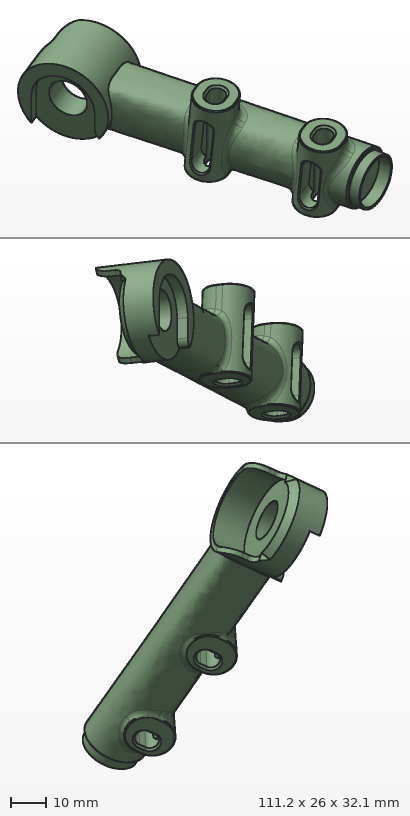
import cadquery as cq
import math


head_radius = 28.57 / 2
head_length = 21.9
pivot_bore_diameter = 11.99

recess_radius = 10.0
recess_depth = 3.3
recess_flare_start_z = -6.0
recess_flare_radius = 2.7
recess_flare_angle = 59.0

pocket_radius = 12.6
pocket_floor_y = 11.6
opening_angle = 35.0
opening_offset = 1.6
lip_round_radius = 5.8
lip_foot_radius = 2.6
bevel_height = 2.3
opening_reach = 20.0

arm_root_y = 11.1
arm_root_width = 16.6
arm_root_exponent = 4.5
section_points = 24
arm_end_x = 92.4
arm_end_y = 6.85
arm_end_diameter = 19.1
arm_end_tilt = 8.5
arm_end_chamfer = 0.4
arm_clearance = 0.25

spigot_diameter = 17.05
spigot_length = 3.3
spigot_bore_diameter = 15.6
spigot_bore_depth = 4.0

boss_tilt = 4.8
boss_y = 3.5
boss_width = 13.1
boss_bore_width = 5.2
boss_bore_chamfer = 0.65
boss_bore_tilt = 1.0
boss_straight = 2.0
boss_edge_chamfer = 0.35
boss_root_fillet = 2.3
window_width = 5.7
window_top_margin = 5.1
window_bottom_margin = 2.9
window_edge_chamfer = 0.5
window_edge_min_depth = 2.5
bosses = [
    (44.35, -9.7, 27.1),
    (78.4, -10.8, 25.1),
]


def y_cylinder(radius, y_start, y_end):
    """Cylinder about the pivot axis."""
    plane = cq.Workplane("XZ", origin=(0, y_start, 0))
    return plane.circle(radius).extrude(y_start - y_end)


def front_recess():
    """Arch about the bore; its +X side flares outwards where it leaves the head."""
    flare = math.radians(recess_flare_angle)
    half_flare = flare / 2

    def flare_point(angle):
        return (
            recess_radius + recess_flare_radius * (1 - math.cos(angle)),
            recess_flare_start_z - recess_flare_radius * math.sin(angle),
        )

    return (
        cq.Workplane("XZ")
        .moveTo(-recess_radius, 0)
        .threePointArc((0, recess_radius), (recess_radius, 0))
        .lineTo(recess_radius, recess_flare_start_z)
        .threePointArc(flare_point(half_flare), flare_point(flare))
        .lineTo(head_radius, -head_radius)
        .lineTo(-recess_radius, -head_radius)
        .close()
        .extrude(-recess_depth)
    )


def pocket_opening():
    """Cuts away one half of the pocket wall, leaving rounded lips and a bevelled floor."""
    diagonal = math.sqrt(0.5)
    bevel_bottom_y = pocket_floor_y - bevel_height
    clearance = (
        cq.Workplane("XY", origin=(0, 0, -opening_reach))
        .moveTo(lip_round_radius, head_length)
        .threePointArc(
            (lip_round_radius * (1 - diagonal), head_length - lip_round_radius * (1 - diagonal)),
            (0, head_length - lip_round_radius),
        )
        .lineTo(0, pocket_floor_y + lip_foot_radius)
        .threePointArc(
            (-lip_foot_radius * (1 - diagonal), pocket_floor_y + lip_foot_radius * (1 - diagonal)),
            (-lip_foot_radius, pocket_floor_y),
        )
        .lineTo(-lip_foot_radius - bevel_height, bevel_bottom_y)
        .lineTo(-opening_reach, bevel_bottom_y)
        .lineTo(-opening_reach, head_length)
        .close()
        .extrude(2 * opening_reach)
        .translate((-opening_offset, 0, 0))
        .rotate((0, 0, 0), (0, 1, 0), -opening_angle)
    )
    bevelled_floor = (
        cq.Workplane("XY")
        .moveTo(0, bevel_bottom_y)
        .lineTo(head_radius, bevel_bottom_y)
        .lineTo(head_radius - bevel_height, pocket_floor_y)
        .lineTo(0, pocket_floor_y)
        .close()
        .revolve(360, (0, 0, 0), (0, 1, 0))
    )
    return clearance.cut(bevelled_floor)


def make_head():
    head = y_cylinder(head_radius, 0, head_length)
    head = head.cut(front_recess())
    head = head.cut(y_cylinder(pocket_radius, pocket_floor_y, head_length))
    head = head.cut(pocket_opening())
    return head.cut(y_cylinder(pivot_bore_diameter / 2, 0, head_length))


def arm_end_plane():
    tilt = math.radians(arm_end_tilt)
    return cq.Plane(
        origin=(arm_end_x, arm_end_y, 0),
        xDir=(math.sin(tilt), math.cos(tilt), 0),
        normal=(math.cos(tilt), -math.sin(tilt), 0),
    )


def superellipse(plane, width, exponent):
    """Smooth closed outline that starts at +Y; exponent 2 is a circle, larger is squarer."""

    def signed_power(value):
        return math.copysign(abs(value) ** (2 / exponent), value)

    points = []
    for step in range(section_points):
        angle = 2 * math.pi * step / section_points
        points.append(
            (width / 2 * signed_power(math.cos(angle)), width / 2 * signed_power(math.sin(angle)))
        )
    return cq.Workplane(plane).spline(points, periodic=True).wire().val()


def arm_tube():
    """Tapered tube blank from a rounded square at the pivot to a circle at the end."""
    root_plane = cq.Plane(origin=(0, arm_root_y, 0), xDir=(0, 1, 0), normal=(1, 0, 0))
    root = superellipse(root_plane, arm_root_width, arm_root_exponent)
    end = superellipse(arm_end_plane(), arm_end_diameter, 2)
    return cq.Workplane(cq.Solid.makeLoft([root, end], True))


def leaning_plane(x, z, lean):
    tilt = math.radians(lean)
    return cq.Plane(
        origin=(x, boss_y, z),
        xDir=(0, 1, 0),
        normal=(math.sin(tilt), 0, math.cos(tilt)),
    )


def oval(plane, width, length):
    return cq.Workplane(plane).slot2D(width + boss_straight, width).extrude(length)


def boss_bore(x, z, length):
    """Oval through bore that starts at the middle of the boss top face."""
    top = leaning_plane(x, z, boss_tilt).toWorldCoords((0, 0, length))
    start = leaning_plane(top.x, top.z, boss_bore_tilt)
    overshoot = boss_width / 4
    return (
        cq.Workplane(start)
        .workplane(offset=overshoot)
        .slot2D(boss_bore_width + boss_straight, boss_bore_width)
        .extrude(-length - 2 * overshoot)
    )


def window(x, z, length):
    """Upright slot from the boss bore out through the -Y side."""
    height = length - window_top_margin - window_bottom_margin
    middle = leaning_plane(x, z, boss_tilt).toWorldCoords((0, 0, window_bottom_margin + height / 2))
    tilt = math.radians(boss_tilt)
    plane = cq.Plane(
        origin=middle,
        xDir=(math.sin(tilt), 0, math.cos(tilt)),
        normal=(0, -1, 0),
    )
    return cq.Workplane(plane).slot2D(height, window_width).extrude(boss_width)


def add_boss(arm, x, z, length):
    boss = oval(leaning_plane(x, z, boss_tilt), boss_width, length)
    boss = boss.faces("<Z or >Z").edges().chamfer(boss_edge_chamfer)
    arm = arm.union(boss)
    root_box = cq.selectors.BoxSelector(
        (x - boss_width, -boss_width, z), (x + boss_width, arm_end_diameter, z + length)
    )
    return arm.edges("%BSPLINE").edges(root_box).fillet(boss_root_fillet)


def edges_near(center, reach_x, reach_y, reach_z):
    """Selects the edges that lie wholly in a box around a point."""
    reach = cq.Vector(reach_x, reach_y, reach_z)
    return cq.selectors.BoxSelector((center - reach).toTuple(), (center + reach).toTuple(), True)


def open_boss(arm, x, z, length):
    """Cuts the bore and the window and chamfers their outer edges."""
    arm = arm.cut(boss_bore(x, z, length)).cut(window(x, z, length))
    frame = leaning_plane(x, z, boss_tilt)

    mouth_reach = (boss_bore_width + boss_width) / 4
    for distance in (0, length):
        mouth = frame.toWorldCoords((0, 0, distance))
        mouth_edges = edges_near(mouth, mouth_reach, mouth_reach, boss_bore_chamfer)
        arm = arm.edges(mouth_edges).chamfer(boss_bore_chamfer)

    middle = frame.toWorldCoords((0, 0, length / 2))
    front_y = boss_y - (boss_width + boss_straight) / 2
    window_center = cq.Vector(middle.x, front_y, middle.z)
    window_reach_y = -window_edge_min_depth - front_y
    window_reach_z = length / 2 - window_bottom_margin / 2
    window_edges = edges_near(window_center, boss_width / 2, window_reach_y, window_reach_z)
    return arm.edges(window_edges).chamfer(window_edge_chamfer)


def make_arm():
    arm = arm_tube().faces(">X").edges().chamfer(arm_end_chamfer)
    for boss in bosses:
        arm = add_boss(arm, *boss)
    for boss in bosses:
        arm = open_boss(arm, *boss)
    arm = arm.cut(y_cylinder(head_radius + arm_clearance, 0, head_length))
    end = cq.Workplane(arm_end_plane())
    arm = arm.union(end.circle(spigot_diameter / 2).extrude(spigot_length))
    bore = end.workplane(offset=spigot_length).circle(spigot_bore_diameter / 2)
    return arm.cut(bore.extrude(-spigot_bore_depth))


head = make_head()
arm = make_arm()
result = cq.Compound.makeCompound([head.val(), *arm.solids().vals()])